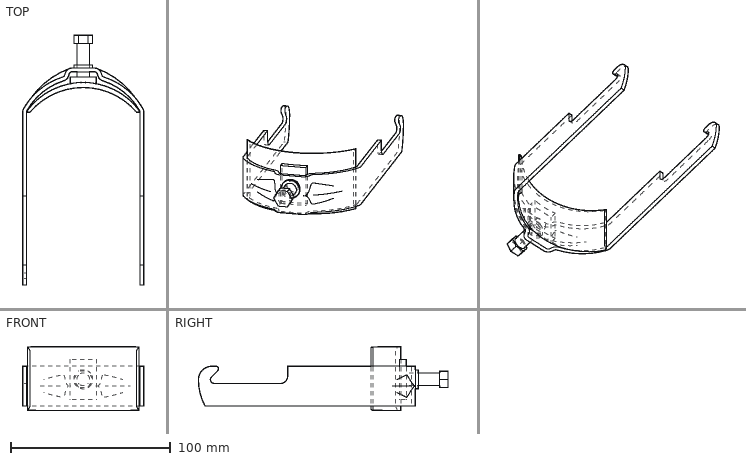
import cadquery as cq
import math


STRAP_WIDTH = 76.0
SHEET = 2.5
STRAP_HEIGHT = 25.0
STRAP_MID_Z = -4.7
STRAP_TOP_Z = STRAP_MID_Z + STRAP_HEIGHT / 2
STRAP_BOTTOM_Z = STRAP_MID_Z - STRAP_HEIGHT / 2
LEG_OUTER_X = STRAP_WIDTH / 2
LEG_INNER_X = LEG_OUTER_X - SHEET
SHOULDER_INNER_R = 40.5
SHOULDER_OUTER_R = SHOULDER_INNER_R + SHEET
SHOULDER_CENTER_Y = -18.5
SEAT_OUTER_Y = 28.3
SEAT_INNER_Y = SEAT_OUTER_Y - SHEET
SEAT_FLAT_HALF = 6.9
JOGGLE_ANGLE = math.radians(72)
JOGGLE_INNER_R = 2.0
JOGGLE_OUTER_R = JOGGLE_INNER_R + SHEET
LEG_BEND_INNER_R = 2.8
LEG_BEND_OUTER_R = LEG_BEND_INNER_R + SHEET
COLLAR_DIA = 11.9
COLLAR_HEIGHT = 1.9

LEG_LENGTH = 107.7
NOTCH_START = 51.8
NOTCH_DEPTH = 10.8
NOTCH_FILLET = 4.4
HOOK_OUTER_R = 8.6
HOOK_REACH = 12.7
HOOK_TIP_R = 1.7
HOOK_THROAT_R = 2.3
HEEL_R = 34.5

RIB_START = (8.1, 28.2)
RIB_MID = (21.8, 20.8)
RIB_TIP_Y = 7.2
RIB_HALF_WIDTH = 7.5
RIB_MID_HALF_WIDTH = 5.0
RIB_EMBED = 0.2

SADDLE_HALF_WIDTH = 35.0
SADDLE_HEIGHT = 40.0
SADDLE_R = 43.8
SADDLE_OUTER_Y = 19.2
SADDLE_THICKNESS = 3.3
SADDLE_END_Y = 0.5
SADDLE_RIM_R = 3.0

PAD_WIDTH = 16.5
PAD_HEIGHT = 25.0
PAD_OUTER_Y = 22.7
BOLT_Z = -0.5
BOLT_DIA = 8.0
HEAD_CORNERS = 11.9
HEAD_THICKNESS = 5.3
BOLT_END_Y = 48.8


def arc_y(radius, center_y, x):
    """Y of the upper side of a circle centred on X = 0."""
    return center_y + math.sqrt(radius**2 - x**2)


def arc_x(radius, center_y, y):
    """X of the right side of a circle centred on X = 0."""
    return math.sqrt(radius**2 - (y - center_y)**2)


def shoulder_point(radius, x):
    return (x, arc_y(radius, SHOULDER_CENTER_Y, x))


def seat_corner(seat_y, bend_radius):
    """Sharp corner between the seat and the joggle slope."""
    return (SEAT_FLAT_HALF + bend_radius * math.tan(JOGGLE_ANGLE / 2), seat_y)


def joggle_foot(corner, radius):
    """Point where the slope that starts at the seat corner meets a shoulder circle."""
    run, drop = math.cos(JOGGLE_ANGLE), math.sin(JOGGLE_ANGLE)
    height = corner[1] - SHOULDER_CENTER_Y
    half_b = corner[0] * run - height * drop
    c = corner[0]**2 + height**2 - radius**2
    length = -half_b - math.sqrt(half_b**2 - c)
    return (corner[0] + length * run, corner[1] - length * drop)


SEAT_OUTER_CORNER = seat_corner(SEAT_OUTER_Y, JOGGLE_OUTER_R)
SEAT_INNER_CORNER = seat_corner(SEAT_INNER_Y, JOGGLE_INNER_R)
FOOT_OUTER = joggle_foot(SEAT_OUTER_CORNER, SHOULDER_OUTER_R)
FOOT_INNER = joggle_foot(SEAT_INNER_CORNER, SHOULDER_INNER_R)


def bent_sheet():
    """Right half of the strap above its leg: half seat, joggle and shoulder."""
    outer_leg = shoulder_point(SHOULDER_OUTER_R, LEG_OUTER_X)
    inner_leg = shoulder_point(SHOULDER_INNER_R, LEG_INNER_X)
    outer_mid = shoulder_point(SHOULDER_OUTER_R, (LEG_OUTER_X + FOOT_OUTER[0]) / 2)
    inner_mid = shoulder_point(SHOULDER_INNER_R, (LEG_INNER_X + FOOT_INNER[0]) / 2)
    sheet = (
        cq.Workplane("XY", origin=(0, 0, STRAP_BOTTOM_Z))
        .moveTo(LEG_INNER_X, 0)
        .lineTo(LEG_OUTER_X, 0)
        .lineTo(*outer_leg)
        .threePointArc(outer_mid, FOOT_OUTER)
        .lineTo(*SEAT_OUTER_CORNER)
        .lineTo(0, SEAT_OUTER_Y)
        .lineTo(0, SEAT_INNER_Y)
        .lineTo(*SEAT_INNER_CORNER)
        .lineTo(*FOOT_INNER)
        .threePointArc(inner_mid, inner_leg)
        .close()
        .extrude(STRAP_HEIGHT)
    )
    bends = [
        (outer_leg, LEG_BEND_OUTER_R),
        (inner_leg, LEG_BEND_INNER_R),
        (SEAT_OUTER_CORNER, JOGGLE_OUTER_R),
        (SEAT_INNER_CORNER, JOGGLE_INNER_R),
        (FOOT_OUTER, JOGGLE_INNER_R),
        (FOOT_INNER, JOGGLE_OUTER_R),
    ]
    for (x, y), radius in bends:
        corner = cq.selectors.NearestToPointSelector((x, y, STRAP_MID_Z))
        sheet = sheet.edges("|Z").edges(corner).fillet(radius)
    return sheet


def hooked_leg():
    """Right leg, drawn in the plane of its outline and as thick as the sheet."""
    diagonal = math.sqrt(0.5)
    tip_y = -LEG_LENGTH + HOOK_REACH - HOOK_TIP_R
    tip_z = STRAP_TOP_Z - HOOK_TIP_R
    floor_z = STRAP_TOP_Z - NOTCH_DEPTH
    throat_z = floor_z + HOOK_THROAT_R
    throat_y = tip_y - (tip_z - throat_z) + (HOOK_TIP_R + HOOK_THROAT_R) / diagonal
    hook_y = -LEG_LENGTH + HOOK_OUTER_R
    hook_z = STRAP_TOP_Z - HOOK_OUTER_R
    heel_y = -LEG_LENGTH + HEEL_R - math.sqrt(HEEL_R**2 - (hook_z - STRAP_BOTTOM_Z)**2)
    tip_out = HOOK_TIP_R * diagonal
    throat_out = HOOK_THROAT_R * diagonal
    hook_out = HOOK_OUTER_R * diagonal
    return (
        cq.Workplane("YZ", origin=(LEG_INNER_X, 0, 0))
        .moveTo(0, STRAP_BOTTOM_Z)
        .lineTo(0, STRAP_TOP_Z)
        .lineTo(-NOTCH_START, STRAP_TOP_Z)
        .lineTo(-NOTCH_START, floor_z + NOTCH_FILLET)
        .radiusArc((-NOTCH_START - NOTCH_FILLET, floor_z), NOTCH_FILLET)
        .lineTo(throat_y, floor_z)
        .threePointArc((throat_y - HOOK_THROAT_R, throat_z), (throat_y - throat_out, throat_z + throat_out))
        .lineTo(tip_y + tip_out, tip_z - tip_out)
        .threePointArc((tip_y + HOOK_TIP_R, tip_z), (tip_y, STRAP_TOP_Z))
        .lineTo(hook_y, STRAP_TOP_Z)
        .threePointArc((hook_y - hook_out, hook_z + hook_out), (-LEG_LENGTH, hook_z))
        .radiusArc((heel_y, STRAP_BOTTOM_Z), -HEEL_R)
        .close()
        .extrude(SHEET)
    )


def joggle_rib():
    """Roof-shaped rib with a curved ridge that braces the right joggle."""
    foot_r = SHOULDER_OUTER_R - RIB_EMBED
    tip_x = arc_x(foot_r, SHOULDER_CENTER_Y, RIB_TIP_Y)
    foot_x = FOOT_OUTER[0]
    foot_mid = shoulder_point(foot_r, (foot_x + tip_x) / 2)
    start = cq.Vector(*RIB_START, STRAP_MID_Z)
    middle = cq.Vector(*RIB_MID, STRAP_MID_Z)
    tip = cq.Vector(tip_x, RIB_TIP_Y, STRAP_MID_Z)
    ridge = cq.Edge.makeThreePointArc(start, middle, tip)

    faces = []
    corners = []
    feet = []
    for side in (-1, 1):
        corner = cq.Vector(*shoulder_point(foot_r, foot_x), STRAP_MID_Z + side * RIB_HALF_WIDTH)
        foot_middle = cq.Vector(*foot_mid, STRAP_MID_Z + side * RIB_MID_HALF_WIDTH)
        foot = cq.Edge.makeThreePointArc(corner, foot_middle, tip)
        faces.append(cq.Face.makeRuledSurface(ridge, foot))
        corners.append(corner)
        feet.append(foot)
    faces.append(cq.Face.makeRuledSurface(*feet))
    faces.append(cq.Face.makeFromWires(cq.Wire.makePolygon([start, *corners], close=True)))
    return cq.Workplane(cq.Solid.makeSolid(cq.Shell.makeShell(faces)))


def bolt_cylinder(diameter, y0, y1):
    """Cylinder on the bolt axis."""
    return cq.Workplane("XZ", origin=(0, y0, BOLT_Z)).circle(diameter / 2).extrude(y0 - y1)


def make_strap():
    half = bent_sheet().union(hooked_leg()).union(joggle_rib())
    strap = half.union(half.mirror("YZ"))
    strap = strap.union(bolt_cylinder(COLLAR_DIA, SEAT_INNER_Y, SEAT_OUTER_Y + COLLAR_HEIGHT))
    return strap.cut(bolt_cylinder(BOLT_DIA, SEAT_INNER_Y, SEAT_OUTER_Y + COLLAR_HEIGHT))


def make_saddle():
    """Curved trough whose inner face is rounded off along its upper and lower rims."""
    outer_center_y = SADDLE_OUTER_Y - SADDLE_R
    inner_center_y = outer_center_y - SADDLE_THICKNESS
    outer_end_y = arc_y(SADDLE_R, outer_center_y, SADDLE_HALF_WIDTH)
    inner_end_x = arc_x(SADDLE_R, inner_center_y, SADDLE_END_Y)
    inner_crown = (0, SADDLE_OUTER_Y - SADDLE_THICKNESS)
    trough = (
        cq.Workplane("XY", origin=(0, 0, -SADDLE_HEIGHT / 2))
        .moveTo(-SADDLE_HALF_WIDTH, SADDLE_END_Y)
        .lineTo(-SADDLE_HALF_WIDTH, outer_end_y)
        .threePointArc((0, SADDLE_OUTER_Y), (SADDLE_HALF_WIDTH, outer_end_y))
        .lineTo(SADDLE_HALF_WIDTH, SADDLE_END_Y)
        .lineTo(inner_end_x, SADDLE_END_Y)
        .threePointArc(inner_crown, (-inner_end_x, SADDLE_END_Y))
        .close()
        .extrude(SADDLE_HEIGHT)
    )
    return trough.edges("%CIRCLE").edges("<Y").fillet(SADDLE_RIM_R)


def make_pad():
    """Block under the bolt, hollowed to sit on the saddle."""
    saddle_center_y = SADDLE_OUTER_Y - SADDLE_R
    inner_y = arc_y(SADDLE_R, saddle_center_y, PAD_WIDTH / 2)
    bottom_z = BOLT_Z - PAD_HEIGHT / 2
    block = (
        cq.Workplane("XY", origin=(0, inner_y, bottom_z))
        .box(PAD_WIDTH, PAD_OUTER_Y - inner_y, PAD_HEIGHT, centered=(True, False, False))
    )
    hollow = (
        cq.Workplane("XY", origin=(0, saddle_center_y, bottom_z))
        .circle(SADDLE_R)
        .extrude(PAD_HEIGHT)
    )
    return block.cut(hollow)


def make_bolt():
    shank = bolt_cylinder(BOLT_DIA, PAD_OUTER_Y, BOLT_END_Y)
    head = (
        cq.Workplane("XZ", origin=(0, BOLT_END_Y, BOLT_Z))
        .polygon(6, HEAD_CORNERS)
        .extrude(HEAD_THICKNESS)
    )
    return shank.union(head)


strap = make_strap()
saddle = make_saddle()
pad = make_pad()
bolt = make_bolt()

result = cq.Compound.makeCompound([body.solids().val() for body in (strap, saddle, pad, bolt)])